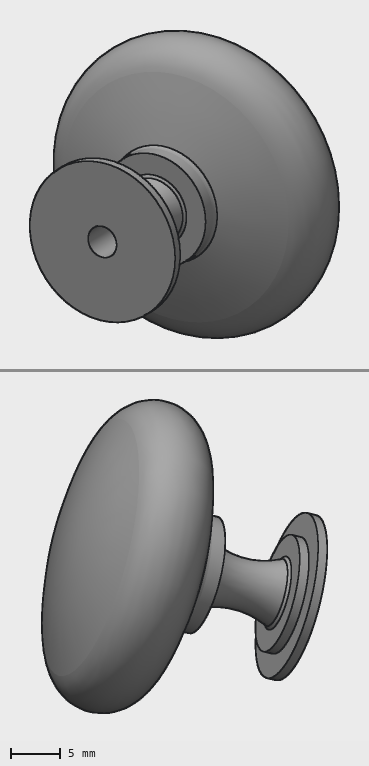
import cadquery as cq
import math

flange_thickness = 1.0
base_collar_end = 2.0
neck_end = 10.0
head_collar_end = 11.42
lip_end = 11.9
overall_length = 24.5
rim_center = 18.1
rim_half_width = 4.0

head_radius = 16.0
dome_edge_radius = 13.2
lip_radius = 6.2
collar_radius = 6.0
flange_radius = 8.5
neck_end_radius = 3.78
neck_arc_end_radius = 3.45
neck_waist_radius = 2.62
neck_base_flare = 0.3
neck_head_flare = 0.2

hole_radius = 1.65
hole_depth = 12.0
drill_point_angle = 118.0


def arc_middle(start, end, sagitta):
    """Middle point of an arc bulging to the right of start -> end."""
    dx = end[0] - start[0]
    dy = end[1] - start[1]
    chord = math.hypot(dx, dy)
    return (
        (start[0] + end[0]) / 2 + sagitta * dy / chord,
        (start[1] + end[1]) / 2 - sagitta * dx / chord,
    )


def make_knob():
    """Revolve the (radius, axial position) half profile about the Y axis."""
    neck_arc_start = base_collar_end + neck_base_flare
    neck_arc_stop = neck_end - neck_head_flare
    waist = (neck_waist_radius, (neck_arc_start + neck_arc_stop) / 2)

    lip = (lip_radius, lip_end)
    lip_fillet_sagitta = -0.048
    lip_start = (collar_radius, head_collar_end)
    lip_middle = arc_middle(lip_start, lip, lip_fillet_sagitta)

    rim_back = (dome_edge_radius, rim_center - rim_half_width)
    back_sagitta = 0.1
    back_middle = arc_middle(lip, rim_back, back_sagitta)

    rim_front = (dome_edge_radius, rim_center + rim_half_width)
    dome_height = overall_length - rim_front[1]
    dome_sphere_radius = (dome_edge_radius**2 + dome_height**2) / (2 * dome_height)
    dome_middle_radius = dome_edge_radius / 2
    dome_middle_y = (
        overall_length
        - dome_sphere_radius
        + math.sqrt(dome_sphere_radius**2 - dome_middle_radius**2)
    )

    profile = (
        cq.Workplane("XY")
        .lineTo(flange_radius, 0)
        .lineTo(flange_radius, flange_thickness)
        .lineTo(collar_radius, flange_thickness)
        .lineTo(collar_radius, base_collar_end)
        .lineTo(neck_end_radius, base_collar_end)
        .lineTo(neck_arc_end_radius, neck_arc_start)
        .threePointArc(waist, (neck_arc_end_radius, neck_arc_stop))
        .lineTo(neck_end_radius, neck_end)
        .lineTo(collar_radius, neck_end)
        .lineTo(*lip_start)
        .threePointArc(lip_middle, lip)
        .threePointArc(back_middle, rim_back)
        .threePointArc((head_radius, rim_center), rim_front)
        .threePointArc((dome_middle_radius, dome_middle_y), (0, overall_length))
        .close()
    )
    return profile.revolve(360, (0, 0), (0, 1))


def make_hole():
    """Cylinder with a conical drill point, revolved about the Y axis."""
    point_length = hole_radius / math.tan(math.radians(drill_point_angle / 2))
    return (
        cq.Workplane("XY")
        .lineTo(hole_radius, 0)
        .lineTo(hole_radius, hole_depth)
        .lineTo(0, hole_depth + point_length)
        .close()
        .revolve(360, (0, 0), (0, 1))
    )


result = make_knob().cut(make_hole())